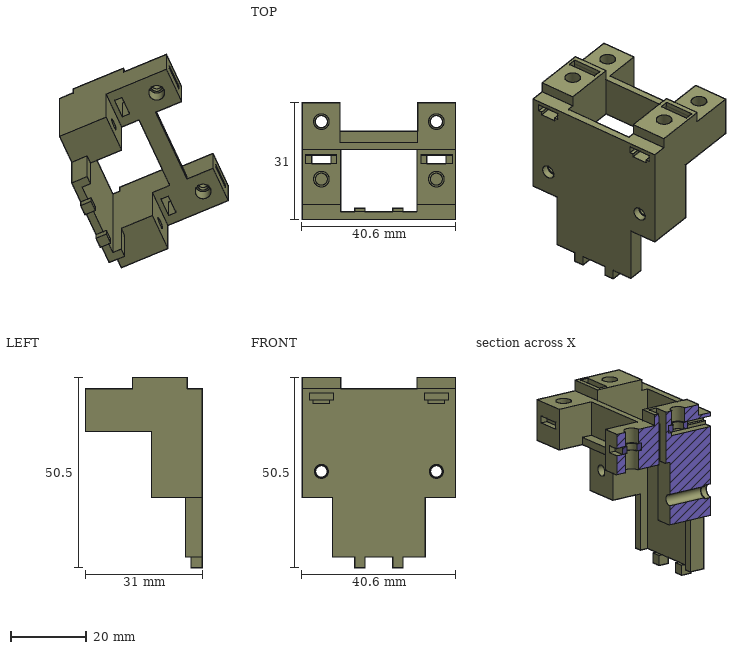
import cadquery as cq

SIDES = (-1, 1)

width = 40.65
depth = 31.0
height = 50.5
shoulder_z = 47.5
arm_bottom_z = 36.1
block_bottom_z = 18.6
skirt_bottom_z = 2.85
block_depth = 13.55
tower_front_y = 4.0
tower_rear_y = 18.55
skirt_width = 24.65
skirt_depth = 4.5

cavity_width = 20.2
front_wall = 2.05
arm_gap = 20.6
rear_wall_y = 20.45
ledge_rear_y = 23.45
ledge_thickness = front_wall

tab_width = 2.85
tab_depth = 3.05
tab_x = 5.05

hole_x = 15.25
terminal_hole_diameter = 4.15
tower_hole_y = 10.7
arm_hole_y = 25.95
mount_hole_z = 25.55
mount_hole_diameter = 3.05
mount_counterbore_diameter = 3.7
mount_counterbore_depth = 2.0

nut_width = 6.3
nut_thickness = 1.9
nut_cover = 4.1
nut_bore = 3.2
groove_width = 4.35
groove_depth = 0.9

slot_x = 15.35
slot_width = 8.35
slot_front_y = 14.85
slot_rear_y = 17.2
slot_depth = 4.05
lead_in = 0.25
lead_in_depth = 1.0
window_width = 5.05


def block(x_size, y_range, z_range, x_centre=0.0):
    """Box centred on x_centre that fills the given Y and Z ranges."""
    y_size = y_range[1] - y_range[0]
    z_size = z_range[1] - z_range[0]
    box = cq.Workplane("XY").box(x_size, y_size, z_size, centered=(True, False, False))
    return box.translate((x_centre, y_range[0], z_range[0]))


def vertical_cylinder(diameter, x, y, z_range):
    """Cylinder along Z that fills the given Z range."""
    base = cq.Workplane("XY", origin=(x, y, z_range[0]))
    return base.circle(diameter / 2).extrude(z_range[1] - z_range[0])


def horizontal_cylinder(diameter, x, z, length):
    """Cylinder along Y that starts on the front face."""
    return cq.Workplane("XZ", origin=(x, 0, z)).circle(diameter / 2).extrude(-length)


def housing_body():
    """Housing before the holes, pockets and slots are cut."""
    side_profile = [
        (0, block_bottom_z),
        (block_depth, block_bottom_z),
        (block_depth, arm_bottom_z),
        (depth, arm_bottom_z),
        (depth, shoulder_z),
        (tower_rear_y, shoulder_z),
        (tower_rear_y, height),
        (tower_front_y, height),
        (tower_front_y, shoulder_z),
        (0, shoulder_z),
    ]
    body = cq.Workplane("YZ").polyline(side_profile).close().extrude(width / 2, both=True)
    body = body.union(block(skirt_width, (0, skirt_depth), (skirt_bottom_z, block_bottom_z)))

    body = body.cut(block(cavity_width, (front_wall, tower_rear_y), (0, height)))

    ledge_top_z = arm_bottom_z + ledge_thickness
    body = body.cut(block(arm_gap, (rear_wall_y, depth), (ledge_top_z, height)))
    body = body.cut(block(arm_gap, (ledge_rear_y, depth), (arm_bottom_z, ledge_top_z)))

    for side in SIDES:
        body = body.union(block(tab_width, (0, tab_depth), (0, skirt_bottom_z), side * tab_x))
    return body


def mount_hole(side):
    """Counterbored hole through the lower block, along Y."""
    bore = horizontal_cylinder(mount_hole_diameter, side * hole_x, mount_hole_z, block_depth)
    counterbore = horizontal_cylinder(
        mount_counterbore_diameter, side * hole_x, mount_hole_z, mount_counterbore_depth
    )
    return bore.union(counterbore)


def nut_z_range(top_z):
    """Bottom and top of a nut that sits below the face at top_z."""
    nut_top_z = top_z - nut_cover
    return (nut_top_z - nut_thickness, nut_top_z)


def tower_nut_pocket(side):
    """Front-entry nut pocket with the blind screw hole and the groove below it."""
    x = side * hole_x
    nut_z = nut_z_range(height)
    nut_bottom_z = nut_z[0]
    groove_bottom_z = nut_bottom_z - groove_depth
    pocket = block(nut_width, (0, tower_hole_y + nut_width / 2), nut_z, x)
    groove = block(groove_width, (0, tower_hole_y + groove_width / 2), (groove_bottom_z, nut_bottom_z), x)
    screw_hole = vertical_cylinder(terminal_hole_diameter, x, tower_hole_y, (nut_bottom_z, height))
    return pocket.union(groove).union(screw_hole)


def arm_nut_pocket(side):
    """Rear-entry nut pocket with the screw hole through the arm."""
    x = side * hole_x
    pocket = block(nut_width, (arm_hole_y - nut_width / 2, depth), nut_z_range(shoulder_z), x)
    screw_hole = vertical_cylinder(terminal_hole_diameter, x, arm_hole_y, (arm_bottom_z, shoulder_z))
    return pocket.union(screw_hole)


def clip_slot(side):
    """Slot with a sloping rear lead-in, and a narrower window down through the bottom."""
    floor_z = height - slot_depth
    throat_rear_y = slot_rear_y - lead_in
    slot_profile = [
        (slot_front_y, floor_z),
        (throat_rear_y, floor_z),
        (throat_rear_y, height - lead_in_depth),
        (slot_rear_y, height),
        (slot_front_y, height),
    ]
    slot = cq.Workplane("YZ").polyline(slot_profile).close().extrude(slot_width / 2, both=True)
    slot = slot.translate((side * slot_x, 0, 0))
    window = block(window_width, (slot_front_y, throat_rear_y), (arm_bottom_z, floor_z), side * hole_x)
    return slot.union(window)


def make_housing():
    """Finished housing."""
    housing = housing_body()
    for side in SIDES:
        housing = housing.cut(mount_hole(side))
        housing = housing.cut(tower_nut_pocket(side))
        housing = housing.cut(arm_nut_pocket(side))
        housing = housing.cut(clip_slot(side))
    return housing


def make_nut(x, y, top_z):
    """Square nut, bored along Z, seated in the pocket below the face at top_z."""
    nut_z = nut_z_range(top_z)
    plate = block(nut_width, (y - nut_width / 2, y + nut_width / 2), nut_z, x)
    return plate.cut(vertical_cylinder(nut_bore, x, y, nut_z))


housing = make_housing()

nuts = []
for side in SIDES:
    nuts.append(make_nut(side * hole_x, tower_hole_y, height))
    nuts.append(make_nut(side * hole_x, arm_hole_y, shoulder_z))

result = cq.Compound.makeCompound([housing.val(), *[nut.val() for nut in nuts]])